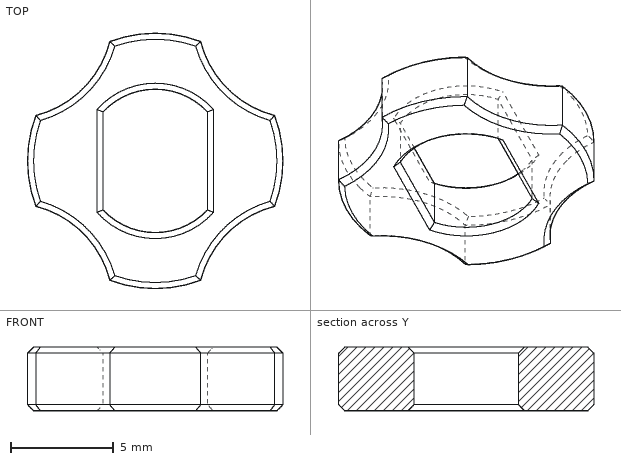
import cadquery as cq
import math

block_unit = 12.5
outer_diameter = block_unit
thickness = block_unit / 4
hole_diameter = 7.0
hole_width_across_flats = 5.1
edge_chamfer = 0.3

scallop_count = 4
scallop_radius = 5.0
scallop_center_distance = 10.0
first_scallop_angle = 45.0


def make_lobed_body():
    """Disc with evenly spaced round scallops cut from its rim."""
    body = cq.Workplane("XY").circle(outer_diameter / 2).extrude(thickness)
    for index in range(scallop_count):
        angle = math.radians(first_scallop_angle + index * 360 / scallop_count)
        center_x = scallop_center_distance * math.cos(angle)
        center_y = scallop_center_distance * math.sin(angle)
        scallop = (
            cq.Workplane("XY")
            .center(center_x, center_y)
            .circle(scallop_radius)
            .extrude(thickness)
        )
        body = body.cut(scallop)
    return body


def make_hole_cutter():
    """Double-D bore with its flats parallel to Y."""
    radius = hole_diameter / 2
    flat_x = hole_width_across_flats / 2
    flat_end_y = math.sqrt(radius**2 - flat_x**2)
    return (
        cq.Workplane("XY")
        .moveTo(flat_x, -flat_end_y)
        .lineTo(flat_x, flat_end_y)
        .threePointArc((0, radius), (-flat_x, flat_end_y))
        .lineTo(-flat_x, -flat_end_y)
        .threePointArc((0, -radius), (flat_x, -flat_end_y))
        .close()
        .extrude(thickness)
    )


def make_washer():
    """Lobed body with the double-D hole, all end-face edges chamfered."""
    washer = make_lobed_body().cut(make_hole_cutter())
    return washer.faces("<Z or >Z").chamfer(edge_chamfer)


result = make_washer()